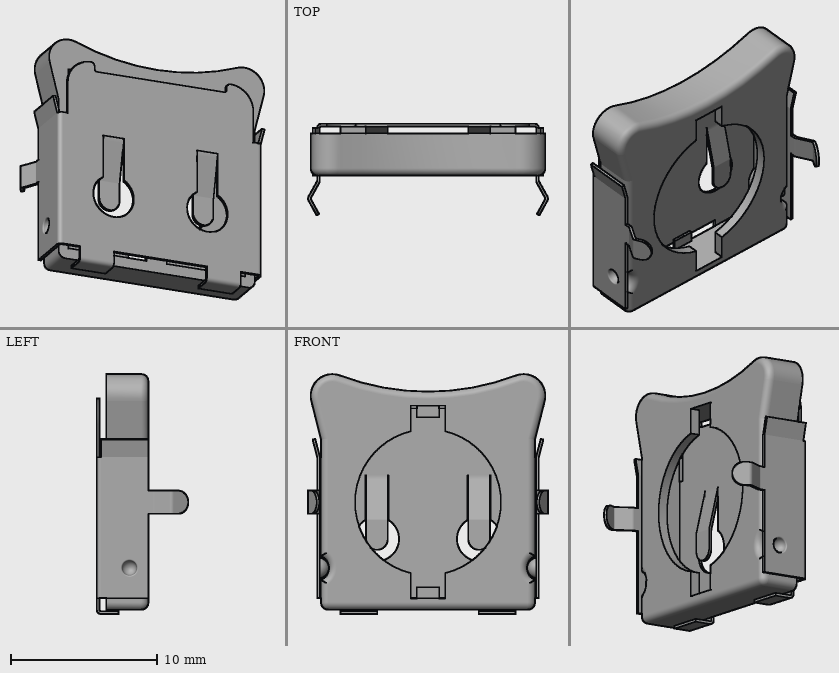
import cadquery as cq
import math

overall_width = 16.4
overall_depth = 6.26
overall_height = 16.4
centre_z = 7.65

housing_half_width = 7.31
housing_back = -0.65
housing_front = -3.55
housing_bottom = 0.3
edge_radius = 0.5
shoulder_z = 11.92
ear_half_width = 8.02
ear_radius = 1.5
saddle_z = 15.2

cavity_half_size = 6.58
front_wall = 0.7
window_radius = 4.99
notch_width = 2.33
hook_width = 1.51
hook_height = 0.77
hook_thickness = 0.2

detent_z = 3.15
groove_axis_x = 7.61
groove_radius = 0.85
groove_wall_radius = 1.53
dimple_centre_y = -2.25
dimple_radius = 0.7
dimple_rim_radius = 0.1

sheet = 0.2
inside_bend = 0.1
outside_bend = inside_bend + sheet
wing_outer_x = 7.58
wing_bottom = 1.08
wing_top = 10.73
plate_half_width = 6.9
plate_top = 14.73
plate_corner_radius = 1.7
recess_half_width = 4.92
recess_z = 14.07
horn_radius = 0.26
recess_corner_radius = 0.2

flare_outer_x = 7.89
flare_top = shoulder_z
foot_inner_x = 3.46
foot_width = 2.53
foot_reach = 1.51
finger_x = 3.5
finger_width = 1.51
slot_width = 1.55
slot_top = 9.48
finger_root_z = 9.33
finger_root_bend = 1.07
finger_knee_z = 6.43
finger_offset = 0.7
keyhole_radius = 1.51
keyhole_z = 5.13
contact_width = 1.6
contact_angle = math.radians(29)
contact_elbow_y = -5.12

join = 0.16
full_round_margin = 0.002
DIAGONAL = math.sqrt(0.5)
SIDES = (-1, 1)


def mirrored_pair(body):
    """A body from the left side together with its mirror image on the right."""
    return body.union(body.mirror("YZ"))


def block(x_range, y_range, z_range):
    """A box given by its limits along each axis."""
    (x0, x1), (y0, y1), (z0, z1) = x_range, y_range, z_range
    return cq.Workplane("XY").box(x1 - x0, y1 - y0, z1 - z0, centered=False).translate((x0, y0, z0))


def cylinder_along_y(x, z, radius, y_back, y_front):
    """A cylinder parallel to Y between two depths."""
    return cq.Workplane("XZ", origin=(x, y_back, z)).circle(radius).extrude(y_back - y_front)



def housing_blank():
    """The solid outline: straight sides, flared ears and a concave top, rounded at the front."""
    ear_x = ear_half_width - ear_radius
    ear_z = overall_height - ear_radius

    drop = saddle_z - ear_z
    saddle_radius = (ear_x**2 + drop**2 - ear_radius**2) / (2 * (ear_radius - drop))
    share = ear_radius / (ear_radius + saddle_radius)
    touch_x = ear_x - share * ear_x
    touch_z = ear_z + share * (saddle_z + saddle_radius - ear_z)

    to_shoulder_x = housing_half_width - ear_x
    to_shoulder_z = shoulder_z - ear_z
    tangent_angle = math.atan2(to_shoulder_z, to_shoulder_x) + math.acos(
        ear_radius / math.hypot(to_shoulder_x, to_shoulder_z)
    )
    flare_x = ear_x + ear_radius * math.cos(tangent_angle)
    flare_z = ear_z + ear_radius * math.sin(tangent_angle)

    ear_mid_x = ear_x + ear_radius * DIAGONAL
    ear_mid_z = ear_z + ear_radius * DIAGONAL
    outline = (
        cq.Workplane("XZ", origin=(0, housing_back, 0))
        .moveTo(-housing_half_width, housing_bottom)
        .lineTo(housing_half_width, housing_bottom)
        .lineTo(housing_half_width, shoulder_z)
        .lineTo(flare_x, flare_z)
        .threePointArc((ear_mid_x, ear_mid_z), (touch_x, touch_z))
        .threePointArc((0, saddle_z), (-touch_x, touch_z))
        .threePointArc((-ear_mid_x, ear_mid_z), (-flare_x, flare_z))
        .lineTo(-housing_half_width, shoulder_z)
        .close()
    )
    blank = outline.extrude(housing_back - housing_front)
    blank = blank.faces("<Z").edges("|Y").fillet(edge_radius)
    return blank.faces("<Y").edges().fillet(edge_radius)


def housing_cavity():
    """The square pocket open at the back, less the walls kept around the detent grooves."""
    half = cavity_half_size
    cavity_front = housing_front + front_wall
    cavity = block((-half, half), (cavity_front, housing_back), (centre_z - half, centre_z + half))
    for side in SIDES:
        groove_wall = cylinder_along_y(
            side * groove_axis_x, detent_z, groove_wall_radius, housing_back, cavity_front
        )
        cavity = cavity.cut(groove_wall)
    return cavity


def housing_window():
    """The round front window with a notch above and below it."""
    window = cylinder_along_y(0, centre_z, window_radius, housing_back, housing_front)
    notch = block(
        (-notch_width / 2, notch_width / 2),
        (housing_front, housing_back),
        (centre_z - cavity_half_size, centre_z + cavity_half_size),
    )
    return window.union(notch)


def retaining_hooks():
    """Two lips at the back that reach over the cell from the cavity's top and bottom."""
    x_range = (-hook_width / 2, hook_width / 2)
    y_range = (housing_back - hook_thickness, housing_back)
    floor = centre_z - cavity_half_size
    ceiling = centre_z + cavity_half_size
    lower = block(x_range, y_range, (floor - join, floor + hook_height))
    upper = block(x_range, y_range, (ceiling - hook_height, ceiling + join))
    return lower.union(upper)


def detent_groove(side):
    """A groove through the depth whose mouth is rounded over at the front face."""
    mouth_radius = groove_radius + edge_radius
    round_start = housing_front + edge_radius
    bulge = edge_radius * (1 - DIAGONAL)
    return (
        cq.Workplane("XY")
        .moveTo(0, housing_back)
        .lineTo(groove_radius, housing_back)
        .lineTo(groove_radius, round_start)
        .threePointArc((groove_radius + bulge, housing_front + bulge), (mouth_radius, housing_front))
        .lineTo(0, housing_front)
        .close()
        .revolve(360, (0, 0, 0), (0, 1, 0))
        .translate((side * groove_axis_x, 0, detent_z))
    )


def make_housing():
    body = housing_blank().cut(housing_cavity()).cut(housing_window()).union(retaining_hooks())
    for side in SIDES:
        body = body.cut(detent_groove(side))
    return body



def mitred_offset(path, distance):
    """The path moved to its left by a distance, with mitred corners."""
    steps = [(b - a).normalized() for a, b in zip(path, path[1:])]
    normals = [cq.Vector(-step.y, step.x) for step in steps]
    befores = normals[:1] + normals
    afters = normals + normals[-1:]
    return [
        point + (before + after) * (distance / (1 + before.dot(after)))
        for point, before, after in zip(path, befores, afters)
    ]


def bent_strip(plane, points, width, inside_radii):
    """Sheet lying to the left of a path in the plane, with a bend radius at each inner point."""
    path = [cq.Vector(*point) for point in points]
    other_face = mitred_offset(path, sheet)
    outline = [(point.x, point.y) for point in path + other_face[::-1]]
    strip = cq.Workplane(plane).polyline(outline).close().extrude(width / 2, both=True)
    for i, radius in enumerate(inside_radii, start=1):
        turns_left = (path[i] - path[i - 1]).cross(path[i + 1] - path[i]).z > 0
        if turns_left:
            outer_corner, inner_corner = path[i], other_face[i]
        else:
            outer_corner, inner_corner = other_face[i], path[i]
        for corner, corner_radius in ((outer_corner, radius + sheet), (inner_corner, radius)):
            nearest = cq.NearestToPointSelector(plane.toWorldCoords(corner).toTuple())
            strip = strip.edges(nearest).fillet(corner_radius)
    return strip


def horizontal_plane(z):
    """A plane with local axes X and Y."""
    return cq.Plane(origin=(0, 0, z), xDir=(1, 0, 0), normal=(0, 0, 1))


def upright_plane(y):
    """A plane with local axes X and Z."""
    return cq.Plane(origin=(0, y, 0), xDir=(1, 0, 0), normal=(0, -1, 0))


def side_plane(x):
    """A plane with local axes Y and Z."""
    return cq.Plane(origin=(x, 0, 0), xDir=(0, 1, 0), normal=(1, 0, 0))


def back_plate():
    """The flat back with rounded top corners and a recess in its top edge."""
    bend_start_x = wing_outer_x - outside_bend
    outline = [
        (bend_start_x, wing_bottom),
        (bend_start_x, wing_top),
        (plate_half_width, wing_top),
        (plate_half_width, plate_top),
        (recess_half_width, plate_top),
        (recess_half_width, recess_z),
    ]
    mirrored_outline = [(-x, z) for x, z in reversed(outline)]
    plate = cq.Workplane("XZ").polyline(outline + mirrored_outline).close().extrude(sheet)
    corners = (
        (plate_half_width, plate_top, plate_corner_radius),
        (recess_half_width, plate_top, horn_radius),
        (recess_half_width, recess_z, recess_corner_radius),
    )
    for side in SIDES:
        for x, z, radius in corners:
            nearest = cq.NearestToPointSelector((side * x, -sheet / 2, z))
            plate = plate.edges(nearest).fillet(radius)
    return plate


def keyhole(side):
    """The opening around a spring finger: a slot that ends in a round hole."""
    x = side * finger_x
    slot = block((x - slot_width / 2, x + slot_width / 2), (-sheet, 0), (keyhole_z, slot_top))
    return slot.union(cylinder_along_y(x, keyhole_z, keyhole_radius, 0, -sheet))


def spring_finger(side):
    """A tongue from the top of its slot, sloping forward and then hanging parallel to the plate."""
    tip_z = keyhole_z - finger_width / 2
    path = [
        (-finger_offset, tip_z),
        (-finger_offset, finger_knee_z),
        (0, finger_root_z),
        (0, slot_top + join),
    ]
    finger = bent_strip(side_plane(side * finger_x), path, finger_width, [inside_bend, finger_root_bend])
    return finger.faces("<Z").edges("not(|X)").fillet(finger_width / 2 - full_round_margin)


def wing():
    """The left side wall, bent forward from the back plate."""
    path = [
        (-wing_outer_x + outside_bend + join, 0),
        (-wing_outer_x, 0),
        (-wing_outer_x, housing_front),
    ]
    middle = horizontal_plane((wing_bottom + wing_top) / 2)
    return bent_strip(middle, path, wing_top - wing_bottom, [inside_bend])


def wing_flare():
    """The lead-in at the top of the left wing, leaning outwards."""
    path = [
        (-flare_outer_x, flare_top),
        (-wing_outer_x, wing_top),
        (-wing_outer_x, wing_top - join),
    ]
    flare_back = -outside_bend
    middle = upright_plane((flare_back + housing_front) / 2)
    return bent_strip(middle, path, flare_back - housing_front, ())


def side_contact():
    """The left terminal: a tongue from the wing's front edge with an elbow and a round tip."""
    elbow_x = overall_width / 2 + outside_bend * (1 / math.cos(contact_angle) - 1)
    slope = math.tan(contact_angle)
    root_y = contact_elbow_y + (elbow_x - wing_outer_x) / slope
    tip_x = elbow_x - (overall_depth + contact_elbow_y) * slope
    path = [
        (-wing_outer_x, housing_front + join),
        (-wing_outer_x, root_y),
        (-elbow_x, contact_elbow_y),
        (-tip_x, -overall_depth),
    ]
    contact = bent_strip(horizontal_plane(centre_z), path, contact_width, [inside_bend, inside_bend])
    return contact.faces("<Y").edges("not(|Z)").fillet(contact_width / 2 - full_round_margin)


def foot():
    """The left foot, bent forward under the housing from a short strip below the plate."""
    path = [(-foot_reach, 0), (0, 0), (0, wing_bottom + join)]
    middle = side_plane(-foot_inner_x - foot_width / 2)
    return bent_strip(middle, path, foot_width, [inside_bend])


def dimple_hollow():
    """The left dimple's inside: half a ball whose rim is rounded over at the wing's outer face."""
    radius = dimple_radius - sheet
    arc_rise = dimple_rim_radius * DIAGONAL
    arc_run = dimple_rim_radius - arc_rise
    profile = (
        cq.Workplane("XY")
        .moveTo(-dimple_rim_radius, 0)
        .lineTo(-dimple_rim_radius, radius + dimple_rim_radius)
        .threePointArc((-arc_rise, radius + arc_run), (0, radius))
        .threePointArc((radius * DIAGONAL, radius * DIAGONAL), (radius, 0))
        .close()
    )
    return profile.revolve(360, (0, 0, 0), (1, 0, 0))


def dimple_bump():
    """The left dimple's outside: half a ball that stands out from the wing's inner face."""
    reach = 2 * dimple_radius
    inner_side = cq.Workplane("XY").box(reach, reach, reach).translate((reach / 2, 0, 0))
    return cq.Workplane("XY").sphere(dimple_radius).intersect(inner_side)


def dimpled_wing():
    """The left wing with a dimple pressed inwards."""
    centre = (dimple_rim_radius - wing_outer_x, dimple_centre_y, detent_z)
    return wing().union(dimple_bump().translate(centre)).cut(dimple_hollow().translate(centre))


def make_clip():
    body = back_plate()
    for side in SIDES:
        body = body.cut(keyhole(side)).union(spring_finger(side))
    for piece in (dimpled_wing(), wing_flare(), side_contact(), foot()):
        body = body.union(mirrored_pair(piece))
    return body


housing = make_housing()
clip = make_clip()
result = cq.Compound.makeCompound([housing.solids().val(), clip.solids().val()])